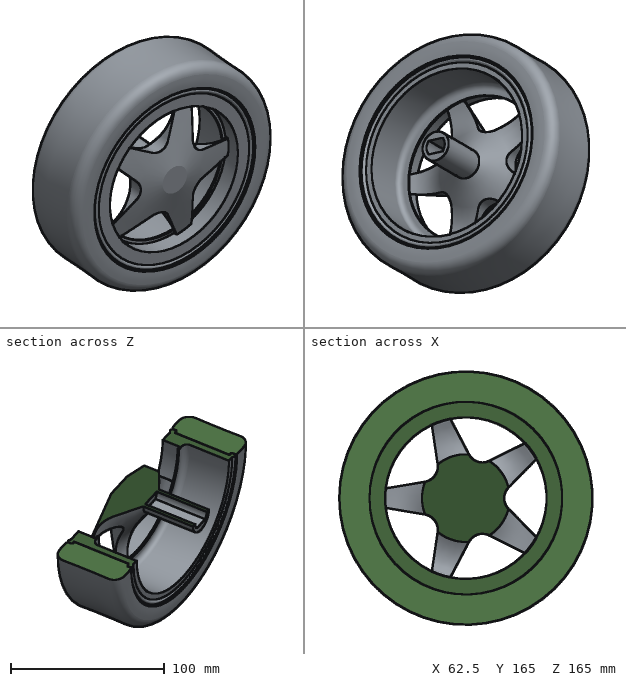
import cadquery as cq
import math


tire_radius = 82.5
wheel_width = 50.0
tread_hollow = 0.25
shoulder_radius = 7.6
sidewall_tilt = math.radians(6.3)
sidewall_inner_radius = 66.08
seat_radius = 62.5

lip_outer_radius = 65.0
lip_inner_radius = 63.0
lip_foot_radius = 61.7
lip_edge_x = 1.2
lip_crest_x = 0.2
lip_inner_x = 0.3
lip_crest_radius = 63.7
rim_face_x = 1.3
rim_rear_x = 48.8
flange_end_x = 4.0
rim_bore_radius = 57.5
floor_x = 34.8
floor_fillet = 4.0
floor_opening_radius = 50.0
floor_thickness = 1.2
floor_rear_x = floor_x + floor_thickness
hub_seat_radius = 52.5

axle_radius = 10.0
axle_end_x = -12.5
cone_front_x = 25.4
cone_end_radius = 26.9
cone_end_x = 35.8
spoke_arc_radius = 25.0
spoke_valley_radius = 40.6
spoke_rear_x = 38.8
spoke_end_fillet = 1.6
spoke_count = 5
spoke_offset = 15.0
spoke_taper = math.radians(9.6)
window_fillet = 10.0
bore_radius = 7.0
bore_flat_width = 9.49


def revolve_about_x(profile):
    return profile.close().revolve(360, (0, 0, 0), (1, 0, 0))


def make_tire():
    """Tire with rounded shoulders, bulged sidewalls and a bore stepped around the rim flanges."""
    tilt_sin = math.sin(sidewall_tilt)
    tilt_cos = math.cos(sidewall_tilt)
    shoulder_center_radius = tire_radius - shoulder_radius
    sidewall_outer_radius = shoulder_center_radius + shoulder_radius * tilt_sin
    crown_radius = (sidewall_outer_radius + sidewall_inner_radius) / 2
    bulge_radius = (sidewall_outer_radius - crown_radius) / tilt_sin
    edge_x = bulge_radius * (1 - tilt_cos)
    shoulder_x = edge_x + shoulder_radius * tilt_cos
    middle_angle = (math.pi / 2 + sidewall_tilt) / 2
    shoulder_middle = (
        shoulder_x - shoulder_radius * math.cos(middle_angle),
        shoulder_center_radius + shoulder_radius * math.sin(middle_angle),
    )

    def mirrored(point):
        return (wheel_width - point[0], point[1])

    shoulder_end = (edge_x, sidewall_outer_radius)
    crown = (0, crown_radius)
    sidewall_end = (edge_x, sidewall_inner_radius)
    lip_edge = (lip_edge_x, lip_outer_radius)
    flange_top = (flange_end_x, lip_outer_radius)
    flange_foot = (flange_end_x, seat_radius)
    tread_edge = (shoulder_x, tire_radius)
    profile = (
        cq.Workplane("XY")
        .moveTo(*tread_edge)
        .threePointArc(shoulder_middle, shoulder_end)
        .threePointArc(crown, sidewall_end)
        .lineTo(*lip_edge)
        .lineTo(*flange_top)
        .lineTo(*flange_foot)
        .lineTo(*mirrored(flange_foot))
        .lineTo(*mirrored(flange_top))
        .lineTo(*mirrored(lip_edge))
        .lineTo(*mirrored(sidewall_end))
        .threePointArc(mirrored(crown), mirrored(shoulder_end))
        .threePointArc(mirrored(shoulder_middle), mirrored(tread_edge))
        .threePointArc((wheel_width / 2, tire_radius - tread_hollow), tread_edge)
    )
    return revolve_about_x(profile)


def make_rim():
    """Cup-shaped rim with a lipped flange at each side and a seat for the spoke ends."""
    fillet_turn = floor_fillet * (1 - math.sqrt(0.5))
    profile = (
        cq.Workplane("XY")
        .moveTo(flange_end_x, seat_radius)
        .lineTo(flange_end_x, lip_outer_radius)
        .lineTo(lip_edge_x, lip_outer_radius)
        .threePointArc((lip_crest_x, lip_crest_radius), (lip_inner_x, lip_inner_radius))
        .lineTo(rim_face_x, lip_foot_radius)
        .lineTo(rim_face_x, rim_bore_radius)
        .lineTo(floor_x - floor_fillet, rim_bore_radius)
        .threePointArc(
            (floor_x - fillet_turn, rim_bore_radius - fillet_turn),
            (floor_x, rim_bore_radius - floor_fillet),
        )
        .lineTo(floor_x, floor_opening_radius)
        .lineTo(floor_rear_x, floor_opening_radius)
        .lineTo(floor_rear_x, hub_seat_radius)
        .lineTo(rim_rear_x, hub_seat_radius)
        .lineTo(rim_rear_x, lip_foot_radius)
        .lineTo(wheel_width - lip_inner_x, lip_inner_radius)
        .threePointArc(
            (wheel_width - lip_crest_x, lip_crest_radius),
            (wheel_width - lip_edge_x, lip_outer_radius),
        )
        .lineTo(wheel_width - flange_end_x, lip_outer_radius)
        .lineTo(wheel_width - flange_end_x, seat_radius)
    )
    return revolve_about_x(profile)


def spoke_front_x(radius):
    """X of the hollow front of the spokes, an arc that starts at the end of the hub cone."""

    def height(r):
        return math.sqrt(spoke_arc_radius**2 - (r - spoke_valley_radius) ** 2)

    return cone_end_x + height(radius) - height(cone_end_radius)


def hub_blank():
    """Axle stub, hub cone and dished web before the windows are cut."""
    foot_radius = hub_seat_radius - spoke_end_fillet
    foot_x = spoke_front_x(foot_radius)
    foot_turn = spoke_end_fillet * (1 - math.sqrt(0.5))
    profile = (
        cq.Workplane("XY")
        .moveTo(axle_end_x, 0)
        .lineTo(axle_end_x, axle_radius)
        .lineTo(cone_front_x, axle_radius)
        .lineTo(cone_end_x, cone_end_radius)
        .threePointArc(
            (spoke_front_x(spoke_valley_radius), spoke_valley_radius),
            (foot_x, foot_radius),
        )
        .threePointArc(
            (foot_x - foot_turn, foot_radius + spoke_end_fillet - foot_turn),
            (foot_x - spoke_end_fillet, hub_seat_radius),
        )
        .lineTo(spoke_rear_x, hub_seat_radius)
        .lineTo(wheel_width, axle_radius)
        .lineTo(wheel_width, 0)
    )
    return revolve_about_x(profile)


def window_cutter():
    """Opening between two spokes, centred on -Y: a wedge with a round corner, open at the rim."""
    half_angle = math.pi / spoke_count + spoke_taper
    corner = spoke_offset / math.sin(half_angle)
    reach = 2 * hub_seat_radius
    side = (reach - corner) * math.tan(half_angle)
    return (
        cq.Workplane("YZ")
        .polyline([(-corner, 0), (-reach, side), (-reach, -side)])
        .close()
        .extrude(wheel_width)
        .edges(cq.selectors.NearestToPointSelector((wheel_width / 2, -corner, 0)))
        .fillet(window_fillet)
    )


def axle_bore():
    """Blind bore with two flats, from the axle end to the front of the hub cone."""
    length = cone_front_x - axle_end_x
    plane = cq.Workplane("YZ", origin=(axle_end_x, 0, 0))
    flats = plane.rect(2 * bore_radius, bore_flat_width).extrude(length)
    return plane.circle(bore_radius).extrude(length).intersect(flats)


def make_hub():
    hub = hub_blank()
    window = window_cutter()
    for index in range(spoke_count):
        hub = hub.cut(window.rotate((0, 0, 0), (1, 0, 0), index * 360 / spoke_count))
    return hub.cut(axle_bore())


tire = make_tire()
rim = make_rim()
hub = make_hub()

result = cq.Compound.makeCompound([tire.val(), rim.val(), hub.val()])